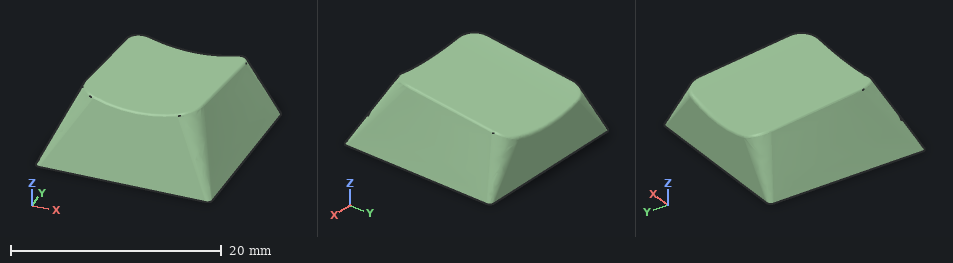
import cadquery as cq
import math

BASE_SIDE = 18.1
BASE_CORNER_RADIUS = 0.5

TILT = 6.15
CROWN_HEIGHT = 7.0
CROWN_WIDTH = 11.9
CROWN_FRONT_Y = -5.4
CROWN_BACK_Y = 8.87
CROWN_CORNER_RADIUS = 2.15

DISH_RADIUS = 16.2
DISH_FLOOR_HEIGHT = 5.81
DISH_LENGTH = 2 * BASE_SIDE

RIM_FILLET = 0.4


def tilted_plane(height):
    """Plane through (0, 0, height) whose local Y follows the falling top."""
    angle = math.radians(TILT)
    return cq.Plane(
        origin=(0, 0, height),
        xDir=(1, 0, 0),
        normal=(0, math.sin(angle), math.cos(angle)),
    )


def rounded_rectangle(width, length, radius):
    """Closed wire of a rounded rectangle centred on the XY origin."""
    rectangle = cq.Workplane().rect(width, length).val()
    return rectangle.fillet2D(radius, rectangle.Vertices())


def tapered_body():
    """Solid lofted from the square foot to the tilted crown section."""
    run_per_length = math.cos(math.radians(TILT))
    crown_length = (CROWN_BACK_Y - CROWN_FRONT_Y) / run_per_length
    crown_middle = (CROWN_BACK_Y + CROWN_FRONT_Y) / 2 / run_per_length
    crown_plane = tilted_plane(CROWN_HEIGHT)
    crown_plane.origin = crown_plane.toWorldCoords((0, crown_middle, 0))

    foot = rounded_rectangle(BASE_SIDE, BASE_SIDE, BASE_CORNER_RADIUS)
    crown = rounded_rectangle(CROWN_WIDTH, crown_length, CROWN_CORNER_RADIUS)
    crown = crown.moved(cq.Location(crown_plane))
    return cq.Workplane(cq.Solid.makeLoft([foot, crown], ruled=True))


def finger_dish():
    """Cylinder whose lowest line runs along the tilted top."""
    profile_plane = tilted_plane(DISH_FLOOR_HEIGHT)
    axis_plane = cq.Plane(
        origin=profile_plane.toWorldCoords((0, 0, DISH_RADIUS)),
        xDir=(1, 0, 0),
        normal=profile_plane.yDir,
    )
    return cq.Workplane(axis_plane).circle(DISH_RADIUS).extrude(DISH_LENGTH / 2, both=True)


body = tapered_body().cut(finger_dish())
rim = body.faces("%CYLINDER").edges()
result = rim.fillet(RIM_FILLET)